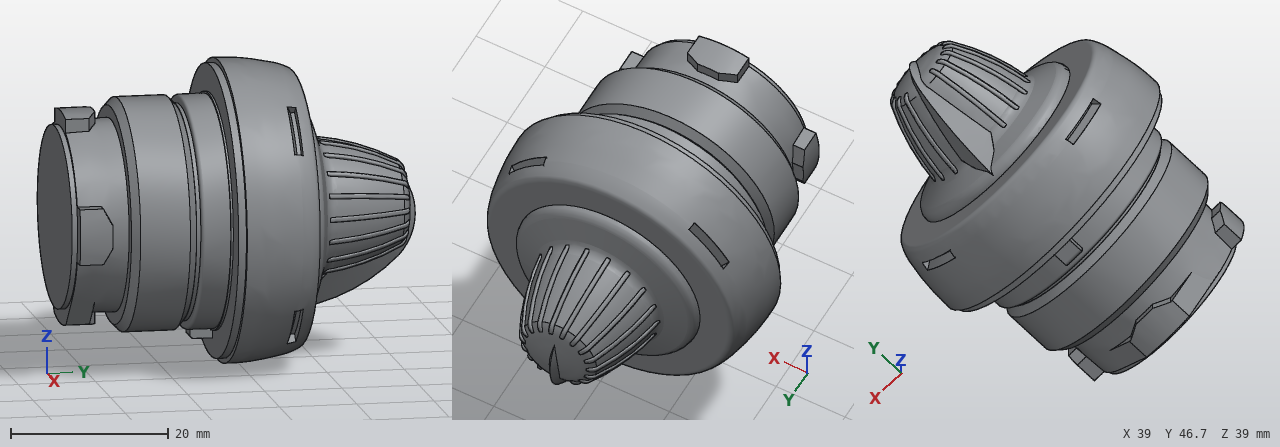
import cadquery as cq
import math


collar_radius = 19.5
collar_front_y = 1.0
collar_blend_y = 8.45
collar_blend_radius = 18.65
collar_round_y = 10.3
collar_round_radius = 18.0
collar_back_y = 10.86
collar_back_radius = 17.15
collar_wall_mid = (19.3, 4.8)
collar_blend_mid = (18.38, 9.4)
collar_round_mid = (17.65, 10.73)
seal_radius = 18.85

shank_radius = 15.0
lip_radius = 15.25
lip_depth = 0.28
shoulder_y = -3.95
shoulder_round = 0.4
groove_radius = 13.9
lower_shank_top_y = -4.5
lower_shank_end_y = -12.95
shank_chamfer = 1.0
neck_top_radius = 12.4
neck_end_radius = 12.15
neck_end_y = -19.5
plug_radius = 11.78
plug_end_y = -20.2

skirt_radius = 13.2
skirt_edge_radius = 12.3
skirt_edge_y = 12.4
skirt_inner_radius = 9.4
skirt_inner_y = 13.4
skirt_edge_mid = (12.95, 11.8)
grip_foot_mid = (8.75, 14.0)
grip_base_radius = 8.5
grip_base_y = 14.95
grip_mid_radius = 7.4
grip_mid_y = 19.5
grip_top_radius = 5.45
grip_top_y = 24.1
crown_edge_radius = 3.4
crown_edge_y = 25.2
crown_y = 25.6
crown_edge_mid = (4.6, 24.8)
crown_mid = (1.7, 25.5)

rib_count = 18
rib_pitch = 360 / rib_count
rib_width = 0.64
rib_height = 0.3
rib_edge_round = 0.22
rib_low_y = 13.8
rib_low_radius = 8.96
rib_tip_radius = 4.4
rib_tip_y = 24.95
rib_tip_mid = (5.3, 24.68)
rib_root_depth = 1.2
pointer_angle = 270

pointer_tip_y = 26.52
pointer_tip_z = -1.2
pointer_flank_taper = 57
pointer_half_width = 3.2
pointer_start = (25.1, 3.2)
pointer_nose = (24.4, -6.7)
pointer_flank_mid = (18.5, -10.9)
pointer_end = (10.5, -13.2)
pointer_root = (10.5, 3.2)

lug_radius = 13.85
lug_half_width = 3.62
lug_tip_half_width = 1.5
lug_tip_y = -15.3
lug_shoulder_y = -16.45

key_width = 2.78
key_length = 2.95
key_reach = 16.25
key_round = 0.5

window_angle = 44
window_length = 7.2
window_back_y = 9.0
window_ramp_y = 8.45
window_front_y = 7.85
window_floor_radius = 17.35
window_front_radius = 18.75
window_outer_radius = 20.5


def make_body():
    """Shank, seal, collar and smooth knob as one revolved profile (radius, Y)."""
    profile = (
        cq.Workplane("XY")
        .moveTo(0, plug_end_y)
        .lineTo(plug_radius, plug_end_y)
        .lineTo(plug_radius, neck_end_y)
        .lineTo(neck_end_radius, neck_end_y)
        .lineTo(neck_top_radius, lower_shank_end_y)
        .lineTo(shank_radius - shank_chamfer, lower_shank_end_y)
        .lineTo(shank_radius, lower_shank_end_y + shank_chamfer)
        .lineTo(shank_radius, lower_shank_top_y - shank_chamfer)
        .lineTo(shank_radius - shank_chamfer, lower_shank_top_y)
        .lineTo(groove_radius, lower_shank_top_y)
        .lineTo(groove_radius, shoulder_y)
        .lineTo(shank_radius - shoulder_round, shoulder_y)
        .radiusArc((shank_radius, shoulder_y + shoulder_round), -shoulder_round)
        .lineTo(shank_radius, -lip_depth)
        .lineTo(lip_radius, -lip_depth)
        .lineTo(lip_radius, 0)
        .lineTo(seal_radius, 0)
        .lineTo(seal_radius, collar_front_y)
        .lineTo(collar_radius, collar_front_y)
        .threePointArc(collar_wall_mid, (collar_blend_radius, collar_blend_y))
        .threePointArc(collar_blend_mid, (collar_round_radius, collar_round_y))
        .threePointArc(collar_round_mid, (collar_back_radius, collar_back_y))
        .lineTo(skirt_radius, collar_back_y)
        .threePointArc(skirt_edge_mid, (skirt_edge_radius, skirt_edge_y))
        .lineTo(skirt_inner_radius, skirt_inner_y)
        .threePointArc(grip_foot_mid, (grip_base_radius, grip_base_y))
        .threePointArc((grip_mid_radius, grip_mid_y), (grip_top_radius, grip_top_y))
        .threePointArc(crown_edge_mid, (crown_edge_radius, crown_edge_y))
        .threePointArc(crown_mid, (0, crown_y))
        .close()
    )
    body = profile.revolve(360, (0, 0, 0), (0, 1, 0))
    return body.rotate((0, 0, 0), (0, 1, 0), rib_pitch / 2)


def make_rib():
    """One grip rib at angle zero (+X), following the grip curve and rounded along its crest."""
    shoulder_radius = grip_top_radius + rib_height
    rib = (
        cq.Workplane("XY")
        .moveTo(rib_low_radius - rib_root_depth, rib_low_y)
        .lineTo(rib_low_radius, rib_low_y)
        .threePointArc((grip_mid_radius + rib_height, grip_mid_y), (shoulder_radius, grip_top_y))
        .threePointArc(rib_tip_mid, (rib_tip_radius, rib_tip_y))
        .lineTo(rib_tip_radius, rib_tip_y - rib_root_depth)
        .close()
        .extrude(rib_width / 2, both=True)
    )
    return rib.edges("%CIRCLE").fillet(rib_edge_round)


def make_pointer():
    """Ridge whose crest follows a curve in the YZ plane and whose flanks slope to both sides."""
    outline = (
        cq.Workplane("YZ")
        .moveTo(*pointer_root)
        .lineTo(*pointer_start)
        .threePointArc((pointer_tip_y, pointer_tip_z), pointer_nose)
        .threePointArc(pointer_flank_mid, pointer_end)
        .close()
    )
    half = outline.extrude(pointer_half_width, taper=pointer_flank_taper)
    return half.union(half.mirror("YZ"))


def make_lugs():
    """Four bayonet lugs, each narrowing toward the knob; the lower one has flanks at 45 degrees, tangent to the neck."""
    lug = (
        cq.Workplane("XY")
        .polyline([
            (-lug_half_width, neck_end_y),
            (-lug_half_width, lug_shoulder_y),
            (-lug_tip_half_width, lug_tip_y),
            (lug_tip_half_width, lug_tip_y),
            (lug_half_width, lug_shoulder_y),
            (lug_half_width, neck_end_y),
        ])
        .close()
        .extrude(lug_radius)
    )
    lugs = lug
    for angle in (90, 180, 270):
        lugs = lugs.union(lug.rotate((0, 0, 0), (0, 1, 0), angle))
    corner = neck_end_radius * math.sqrt(2)
    half_corner = corner / 2
    wedge = (
        cq.Workplane("XZ", origin=(0, lug_shoulder_y, 0))
        .polyline([(0, 0), (-half_corner, -half_corner), (0, -corner), (half_corner, -half_corner)])
        .close()
        .extrude(lug_shoulder_y - neck_end_y)
    )
    limit = (
        cq.Workplane("XZ", origin=(0, lug_tip_y, 0))
        .circle(lug_radius)
        .extrude(lug_tip_y - neck_end_y)
    )
    return lugs.union(wedge).intersect(limit)


def make_key():
    """Locating key on the -Z side with a rounded outer front edge."""
    return (
        cq.Workplane("XY")
        .box(key_width, key_length, key_reach - groove_radius, centered=(True, False, False))
        .translate((0, -key_length, -key_reach))
        .edges("<Y and <Z")
        .fillet(key_round)
    )


def make_window():
    """Cutter for one collar window facing +X: curved floor with a ramp rising toward -Y."""
    ring = (
        cq.Workplane("XY")
        .polyline([
            (window_floor_radius, window_back_y),
            (window_floor_radius, window_ramp_y),
            (window_front_radius, window_front_y),
            (window_outer_radius, window_front_y),
            (window_outer_radius, window_back_y),
        ])
        .close()
        .revolve(360, (0, 0, 0), (0, 1, 0))
    )
    sector = cq.Workplane("XY").box(
        window_outer_radius, 2 * window_back_y, window_length, centered=(False, True, True)
    )
    return ring.intersect(sector)


def add_ribs(body):
    """Ribs all round the grip, except the two that the pointer replaces."""
    rib = make_rib()
    for index in range(rib_count):
        angle = index * rib_pitch
        if abs(angle - pointer_angle) > rib_pitch:
            body = body.union(rib.rotate((0, 0, 0), (0, 1, 0), -angle))
    return body


def cut_windows(body):
    """Four collar windows, placed symmetrically about the XY and YZ planes."""
    window = make_window()
    for angle in (window_angle, 180 - window_angle, 180 + window_angle, -window_angle):
        body = body.cut(window.rotate((0, 0, 0), (0, 1, 0), angle))
    return body


result = add_ribs(make_body())
result = result.union(make_pointer()).union(make_lugs()).union(make_key())
result = cut_windows(result)